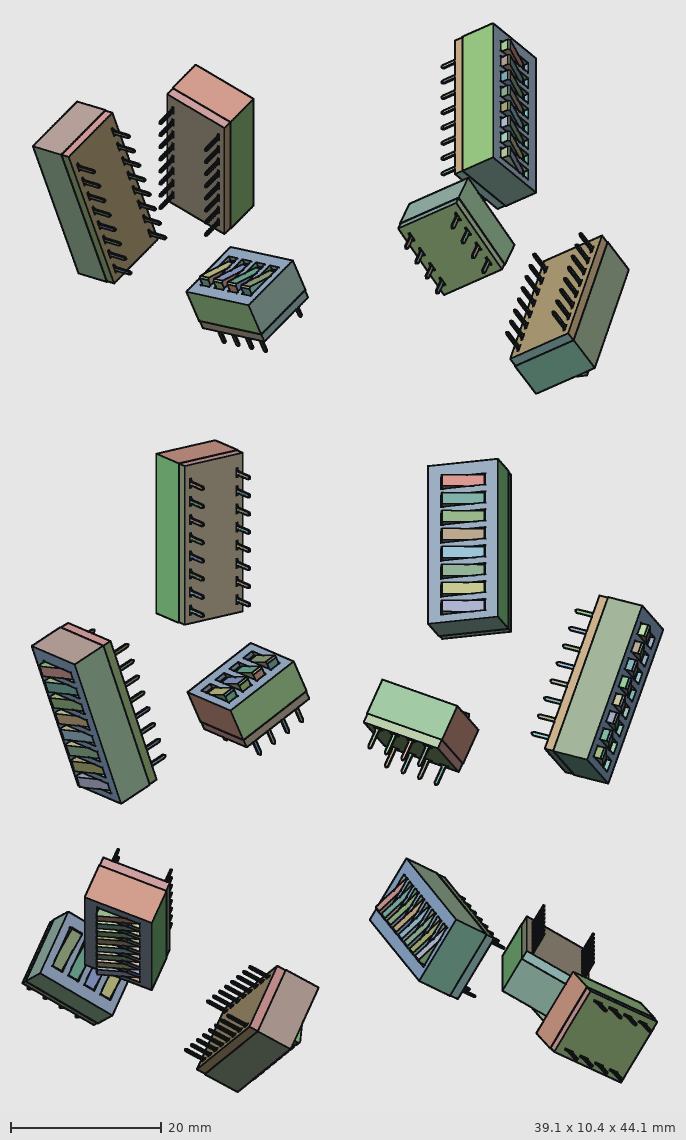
import cadquery as cq
import math

width = 9.7
housing_height = 5.05
base_height = 1.27
base_inset = 0.06
pitch = 2.54

pocket_length = 6.2
pocket_depth = 0.7
rocker_width = 1.6
rocker_length = 5.55
rocker_rise = 1.12
rocker_slope = 18.0
crest_length = 0.25
crest_drop = 0.25

row_spacing = 7.62
pin_length = 2.91
pin_width = 0.5
pin_thickness = 0.22
root_radius = 0.4
tip_width = 0.12
tip_height = 0.25

long_length = 22.35
long_count = 8
long_offset = 0.37
short_length = 11.5
short_count = 4

upright_face_center = (0, 4.39, 0)
left_face_center = (-21.22, 0, -22.43)
left_tilt = 20.0
short_face_center = (5.84, 0, -20.97)
short_tilt = 25.0

base_bottom = -(housing_height + base_height)


def positions(count, offset):
    return [offset + (i - (count - 1) / 2) * pitch for i in range(count)]


def slab(length, across, top, height):
    return cq.Workplane("XY").workplane(offset=top - height).rect(length, across).extrude(height)


def rocker():
    """Wedge whose raised end is at -y and whose low end dips into the pocket."""
    raised_end = -rocker_length / 2
    low_end = rocker_length / 2
    crest = raised_end + crest_length
    low_height = rocker_rise - (low_end - crest) * math.tan(math.radians(rocker_slope))
    return (
        cq.Workplane("YZ")
        .moveTo(raised_end, -pocket_depth)
        .lineTo(raised_end, rocker_rise - crest_drop)
        .lineTo(crest, rocker_rise)
        .lineTo(low_end, low_height)
        .lineTo(low_end, -pocket_depth)
        .close()
        .extrude(rocker_width / 2, both=True)
    )


def pin():
    """Flat pin rooted at z = 0, with a concave fillet on each side of its root and a tapered tip."""
    half_pin = pin_width / 2
    half_tip = tip_width / 2
    half_root = half_pin + root_radius
    shoulder = tip_height - pin_length
    arc_middle = root_radius * (1 - math.sqrt(0.5))
    return (
        cq.Workplane("XZ")
        .moveTo(-half_root, 0)
        .lineTo(half_root, 0)
        .threePointArc((half_pin + arc_middle, -arc_middle), (half_pin, -root_radius))
        .lineTo(half_pin, shoulder)
        .lineTo(half_tip, -pin_length)
        .lineTo(-half_tip, -pin_length)
        .lineTo(-half_pin, shoulder)
        .lineTo(-half_pin, -root_radius)
        .threePointArc((-half_pin - arc_middle, -arc_middle), (-half_root, 0))
        .close()
        .extrude(pin_thickness / 2, both=True)
    )


def dip_switch(length, count, offset):
    body = slab(length, width, 0, housing_height)
    base = slab(length - 2 * base_inset, width - 2 * base_inset, -housing_height, base_height)
    body = body.union(base)
    for x in positions(count, offset):
        pocket = slab(rocker_width, pocket_length, 0, pocket_depth).translate((x, 0, 0))
        body = body.cut(pocket).union(rocker().translate((x, 0, 0)))
        for y in (-row_spacing / 2, row_spacing / 2):
            body = body.union(pin().translate((x, y, base_bottom)))
    return body


def place(switch, face_center, x_direction, normal):
    plane = cq.Plane(origin=face_center, xDir=x_direction, normal=normal)
    return switch.solids().val().moved(cq.Location(plane))


upright_switch = place(
    dip_switch(long_length, long_count, long_offset), upright_face_center, (0, 0, -1), (0, 1, 0)
)

left_sin = math.sin(math.radians(left_tilt))
left_cos = math.cos(math.radians(left_tilt))
leaning_switch = place(
    dip_switch(long_length, long_count, long_offset),
    left_face_center,
    (left_sin, 0, -left_cos),
    (-left_cos, 0, -left_sin),
)

short_sin = math.sin(math.radians(short_tilt))
short_cos = math.cos(math.radians(short_tilt))
short_switch = place(
    dip_switch(short_length, short_count, 0),
    short_face_center,
    (short_cos, 0, short_sin),
    (-short_sin, 0, short_cos),
)

result = cq.Compound.makeCompound([upright_switch, leaning_switch, short_switch])